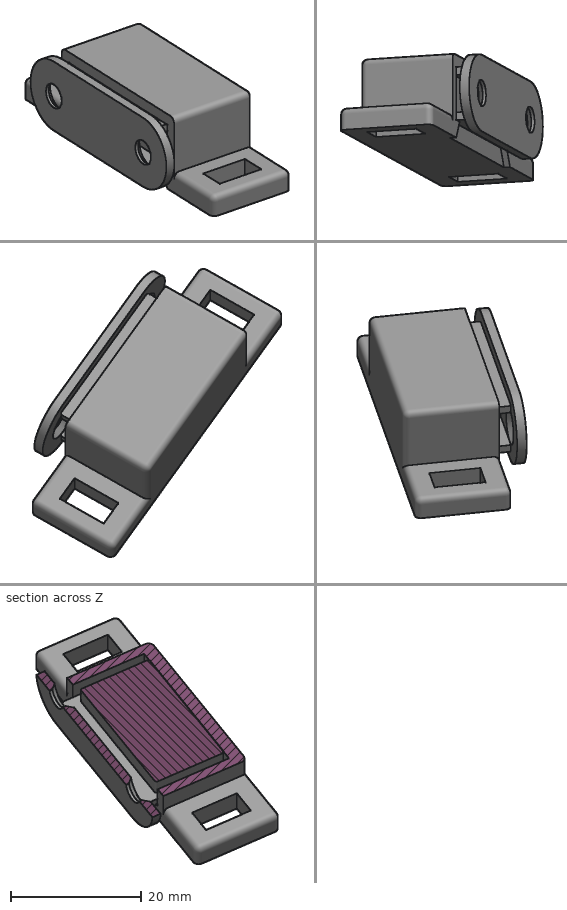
import cadquery as cq
import math

HOUSING_LENGTH = 49
HOUSING_DEPTH = 15.0
BODY_LENGTH = 29.0
BODY_HEIGHT = 13.0
FLANGE_HEIGHT = 3.5
HOUSING_FILLET = 1

SLOT_WIDTH = 4.2
SLOT_DEPTH = 8.0
SLOT_SPACING = 38.8

STACK_HEIGHT_CENTRE = 6.95
MAGNET_LENGTH = 22.85
MAGNET_THICKNESS = 5.9
MAGNET_RECESS = 0.5
PLATE_LENGTH = 25
PLATE_THICKNESS = 1.22
PLATE_PROTRUSION = 2.2
CORNER_FILLET = 0.4

POCKET_LENGTH = 25.5
POCKET_DEPTH = 12.75
POCKET_HEIGHT = MAGNET_THICKNESS + 2 * PLATE_THICKNESS
POCKET_BOTTOM = STACK_HEIGHT_CENTRE - POCKET_HEIGHT / 2

RELIEF_BASE_LENGTH = POCKET_LENGTH
RELIEF_SIDE_ANGLE = 30
RELIEF_DEPTH = 1

STRIKE_HEIGHT = 12.0
STRIKE_THICKNESS = 1.5
STRIKE_HOLE_DIAMETER = 4.0
STRIKE_HOLE_SPACING = 23.05
COUNTERSINK_DIAMETER = 6.0
COUNTERSINK_ANGLE = 90
STRIKE_HEIGHT_CENTRE = BODY_HEIGHT - STRIKE_HEIGHT / 2
STRIKE_LENGTH = STRIKE_HOLE_SPACING + STRIKE_HEIGHT


def block(length, front, back, bottom, height):
    """Box centred on X = 0 between two Y positions, standing on a given Z."""
    return (
        cq.Workplane("XY")
        .box(length, back - front, height, centered=(True, False, False))
        .translate((0, front, bottom))
    )


def make_relief():
    """Trapezoidal cutter from the base of the housing up to the pocket floor."""
    half_base = RELIEF_BASE_LENGTH / 2
    half_top = half_base - POCKET_BOTTOM * math.tan(math.radians(RELIEF_SIDE_ANGLE))
    return (
        cq.Workplane("XZ")
        .polyline(
            [(-half_base, 0), (half_base, 0), (half_top, POCKET_BOTTOM), (-half_top, POCKET_BOTTOM)]
        )
        .close()
        .extrude(-RELIEF_DEPTH)
    )


def make_housing():
    flange = block(HOUSING_LENGTH, 0, HOUSING_DEPTH, 0, FLANGE_HEIGHT)
    flange = flange.edges("|Z or >Z").fillet(HOUSING_FILLET)

    body = block(BODY_LENGTH, 0, HOUSING_DEPTH, 0, BODY_HEIGHT)
    body = body.edges("(|Z and >Y) or (>Z and (not <Y))").fillet(HOUSING_FILLET)

    slots = (
        cq.Workplane("XY")
        .pushPoints([(side * SLOT_SPACING / 2, HOUSING_DEPTH / 2) for side in (-1, 1)])
        .rect(SLOT_WIDTH, SLOT_DEPTH)
        .extrude(FLANGE_HEIGHT)
    )
    pocket = block(POCKET_LENGTH, 0, POCKET_DEPTH, POCKET_BOTTOM, POCKET_HEIGHT)
    return flange.union(body).cut(slots).cut(pocket).cut(make_relief())


def make_magnet():
    bottom = STACK_HEIGHT_CENTRE - MAGNET_THICKNESS / 2
    magnet = block(MAGNET_LENGTH, MAGNET_RECESS, POCKET_DEPTH, bottom, MAGNET_THICKNESS)
    return magnet.edges("|Z").fillet(CORNER_FILLET)


def make_pole_plate(bottom):
    plate = block(PLATE_LENGTH, -PLATE_PROTRUSION, POCKET_DEPTH, bottom, PLATE_THICKNESS)
    return plate.edges("|Z").fillet(CORNER_FILLET)


def make_strike_plate():
    plate = (
        cq.Workplane("XZ", origin=(0, -PLATE_PROTRUSION, STRIKE_HEIGHT_CENTRE))
        .slot2D(STRIKE_LENGTH, STRIKE_HEIGHT)
        .extrude(STRIKE_THICKNESS)
    )
    return (
        plate.faces(">Y")
        .workplane(origin=(0, -PLATE_PROTRUSION, STRIKE_HEIGHT_CENTRE))
        .pushPoints([(side * STRIKE_HOLE_SPACING / 2, 0) for side in (-1, 1)])
        .cskHole(STRIKE_HOLE_DIAMETER, COUNTERSINK_DIAMETER, COUNTERSINK_ANGLE)
    )


housing = make_housing()
magnet = make_magnet()
strike_plate = make_strike_plate()

upper_plate_bottom = STACK_HEIGHT_CENTRE + MAGNET_THICKNESS / 2
pole_plates = [make_pole_plate(bottom) for bottom in (POCKET_BOTTOM, upper_plate_bottom)]

result = cq.Compound.makeCompound(
    [housing.val(), magnet.val(), *[plate.val() for plate in pole_plates], strike_plate.val()]
)